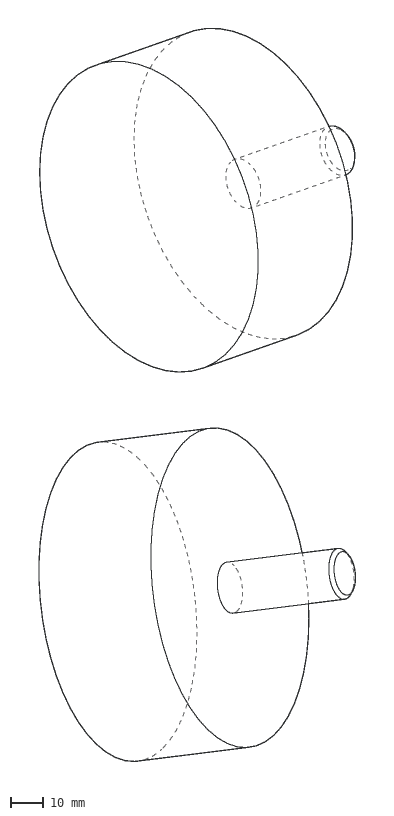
import cadquery as cq

disc_diameter = 100.0
disc_thickness = 40.0
stud_diameter = 16.0
stud_length = 41.0
tip_chamfer = 1.2


def cylinder_along_y(diameter, start, length):
    """Solid cylinder on the Y axis, running from y = start toward +Y."""
    plane = cq.Plane(origin=(0, start, 0), xDir=(-1, 0, 0), normal=(0, 1, 0))
    return cq.Workplane(plane).circle(diameter / 2).extrude(length)


def make_disc():
    """Plain round buffer with its front face at y = 0."""
    return cylinder_along_y(disc_diameter, 0, disc_thickness)


def make_stud():
    """Stud standing on the back of the disc, chamfered at its free end."""
    stud = cylinder_along_y(stud_diameter, disc_thickness, stud_length)
    return stud.faces(">Y").chamfer(tip_chamfer)


disc = make_disc()
stud = make_stud()

result = cq.Compound.makeCompound([disc.val(), stud.val()])